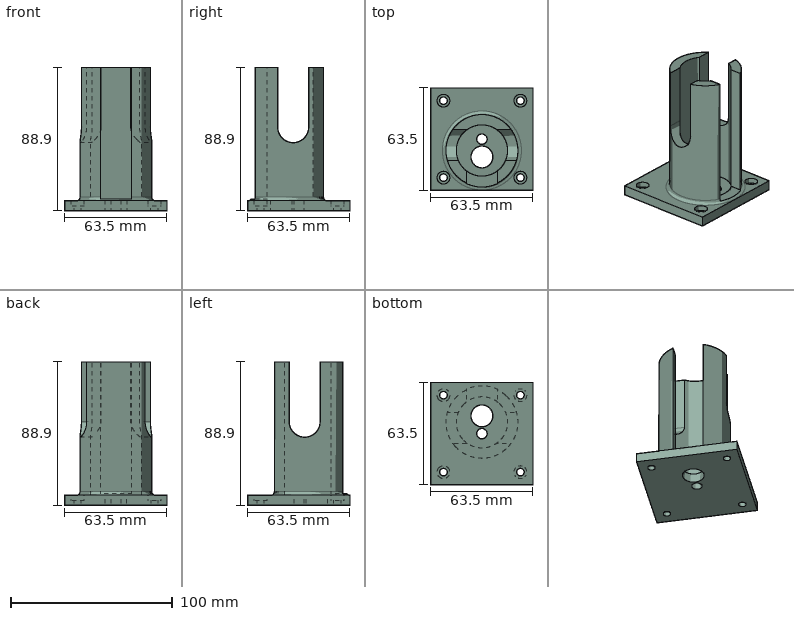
import cadquery as cq

plate_side = 63.5
plate_thickness = 6.3
total_height = 88.9

mount_offset = 23.8
mount_diameter = 4.5
counterbore_diameter = 7.9
counterbore_depth = 3.2

post_y = -7.0
post_diameter = 44.5
bore_diameter = 31.7
bore_floor_z = plate_thickness
foot_fillet = 2.2

slot_width = 19.0
side_slot_y = -3.6
side_slot_bottom_z = 42.3
front_slot_bottom_z = 7.3

small_hole_diameter = 6.3
small_hole_y = 0.0
large_hole_diameter = 13.4
large_hole_y = -11.0


def upright_cylinder(diameter, y, bottom_z, top_z):
    """Vertical cylinder on the X = 0 plane."""
    base = cq.Workplane("XY", origin=(0, y, bottom_z))
    return base.circle(diameter / 2).extrude(top_z - bottom_z)


def make_plate():
    """Square plate with a counterbored hole near each corner."""
    plate = cq.Workplane("XY").box(
        plate_side, plate_side, plate_thickness, centered=(True, True, False)
    )
    spacing = 2 * mount_offset
    return (
        plate.faces(">Z").workplane()
        .rarray(spacing, spacing, 2, 2)
        .cboreHole(mount_diameter, counterbore_diameter, counterbore_depth)
    )


def make_foot():
    """Disc with a concave fillet profile where the post meets the plate."""
    radius = post_diameter / 2
    arc_offset = foot_fillet * (1 - 0.5**0.5)
    profile = (
        cq.Workplane("XZ", origin=(0, post_y, 0))
        .moveTo(0, plate_thickness)
        .lineTo(radius + foot_fillet, plate_thickness)
        .threePointArc(
            (radius + arc_offset, plate_thickness + arc_offset),
            (radius, plate_thickness + foot_fillet),
        )
        .lineTo(0, plate_thickness + foot_fillet)
        .close()
    )
    return profile.revolve(360, (0, 0, 0), (0, 1, 0))


def side_slot():
    """Round-bottomed slot that crosses both side walls and opens at the top."""
    radius = slot_width / 2
    arc_center_z = side_slot_bottom_z + radius
    return (
        cq.Workplane("YZ", origin=(0, side_slot_y, 0))
        .moveTo(-radius, total_height)
        .lineTo(-radius, arc_center_z)
        .threePointArc((0, side_slot_bottom_z), (radius, arc_center_z))
        .lineTo(radius, total_height)
        .close()
        .extrude(post_diameter / 2 + foot_fillet, both=True)
    )


def front_slot():
    """Full-height opening in the -Y wall, flat at its bottom."""
    return cq.Workplane("XY", origin=(0, post_y, front_slot_bottom_z)).box(
        slot_width, plate_side, total_height, centered=(True, False, False)
    ).translate((0, -plate_side, 0))


post = upright_cylinder(post_diameter, post_y, plate_thickness, total_height)
bore = upright_cylinder(bore_diameter, post_y, bore_floor_z, total_height)
small_hole = upright_cylinder(small_hole_diameter, small_hole_y, 0, total_height)
large_hole = upright_cylinder(large_hole_diameter, large_hole_y, 0, total_height)

result = make_plate().union(make_foot()).union(post)
for opening in (bore, side_slot(), front_slot(), small_hole, large_hole):
    result = result.cut(opening)